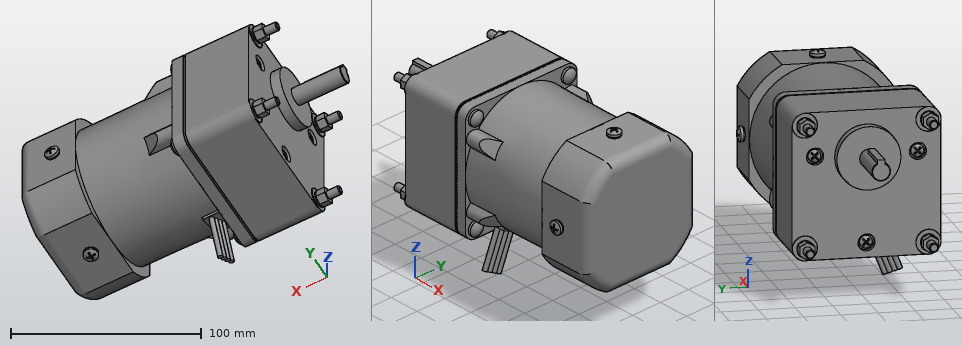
import cadquery as cq
import math


bolt_tip_x = 21.5
key_end_x = 25.0
nut_front_x = 28.9
hub_front_x = 29.5
nut_back_x = 34.1
pad_front_x = 34.8
case_front_x = 35.4
groove_front_x = 73.8
plate_front_x = 74.9
plate_back_x = 81.7
lug_end_x = 100.8
bell_front_x = 140.2
bell_back_x = 175.0

overlap = 1.8

case_width = 80.0
case_half = case_width / 2
case_corner_radius = 7.0
groove_depth = 0.5

shaft_z = 15.0
shaft_radius = 10.0 / 2
shaft_chamfer = 0.4
hub_radius = 17.2
key_width = 4.0
key_floor = 2.1
key_rise = 6.5

bolt_offset = 33.2
bolt_radius = 4.9 / 2
bolt_chamfer = 0.5
nut_sides = 6
nut_corner_radius = 4.7
washer_radius = 4.4
pad_radius = case_half - bolt_offset
bolt_head_radius = 4.7
bolt_head_rim = 1.5
bolt_head_height = 3.5

face_screws = [(-27.6, 16.1), (27.6, 16.1), (0, -31.8)]
recess_radius = 4.5
recess_depth = 2.8
face_screw_radius = 3.5
face_screw_rim = 1.4
face_screw_height = 2.5

body_front_radius = case_half
body_back_radius = 79.0 / 2
lug_angle = 32.2
lug_tip_radius = 4.4
lug_reach = 45.7
lug_flank_angle = 20.0
lug_foot_reach = 39.4
lug_root_reach = 31.5
lug_end_slope = math.tan(math.radians(56.3))

bell_half = 79.3 / 2
bell_corner_radius = 45.3
bell_fillet = 6.6
bell_screw_x = 153.3
bell_screw_radius = 8.2 / 2
bell_screw_span = 87.0
bell_screw_reach = bell_screw_span / 2
bell_screw_rim = 2.5
bell_screw_neck_radius = 3.7
bell_screw_neck = 0.7

cross_length = 4.9
cross_width = 0.7
cross_depth = 1.2

wire_count = 4
wire_radius = 3.0 / 2
wire_pitch = 2.6
wire_stagger = 0.9
wire_tilt = 22.0
wire_row_x = 86.1
wire_exit_y = -16.0
wire_exit_z = -37.8
overall_height = 106.5
lowest_z = bell_screw_reach - overall_height
grommet_width = 12.6
grommet_depth = 14.0
grommet_back_x = 91.7


def slab(x_start, x_end):
    """Workplane facing +X at x_start, and the length to x_end."""
    return cq.Workplane("YZ", origin=(x_start, 0, 0)), x_end - x_start


def square_block(x_start, x_end, half):
    plane, length = slab(x_start, x_end)
    return plane.rect(2 * half, 2 * half).extrude(length)


def cylinder(x_start, x_end, radius, y=0.0, z=0.0):
    plane, length = slab(x_start, x_end)
    return plane.center(y, z).circle(radius).extrude(length)


def screw_head(radius, rim, height, neck_radius=0.0, neck=0.0):
    """Head standing on Z = 0 along +Z, with a straight rim below a round dome."""
    dome = height - rim
    dome_radius = (radius**2 + dome**2) / (2 * dome)
    half_angle = math.asin(radius / dome_radius) / 2
    mid_radius = dome_radius * math.sin(half_angle)
    mid_height = height - dome_radius * (1 - math.cos(half_angle))
    head = (
        cq.Workplane("XZ", origin=(0, 0, neck))
        .lineTo(radius, 0)
        .lineTo(radius, rim - neck)
        .threePointArc((mid_radius, mid_height - neck), (0, height - neck))
        .close()
        .revolve(360, (0, 0, 0), (0, 1, 0))
    )
    if neck:
        head = head.union(cq.Workplane("XY").circle(neck_radius).extrude(neck))
    return head


def cross_slotted(head, height):
    """Cut a cross slot into the top of a head that stands along +Z."""
    floor = cq.Workplane("XY", origin=(0, 0, height - cross_depth))
    for length, width in [(cross_length, cross_width), (cross_width, cross_length)]:
        head = head.cut(floor.rect(length, width).extrude(2 * cross_depth))
    return head


def make_case():
    case = square_block(pad_front_x, plate_back_x, case_half)
    case = case.edges("|X").fillet(case_corner_radius)
    pads = (
        cq.Workplane("YZ", origin=(pad_front_x, 0, 0))
        .rect(2 * bolt_offset, 2 * bolt_offset, forConstruction=True)
        .vertices()
        .circle(pad_radius)
        .extrude(case_front_x - pad_front_x)
    )
    case = case.cut(square_block(pad_front_x, case_front_x, 2 * case_half).cut(pads))
    core = square_block(groove_front_x, plate_front_x, case_half - groove_depth)
    core = core.edges("|X").fillet(case_corner_radius - groove_depth)
    return case.cut(square_block(groove_front_x, plate_front_x, 2 * case_half).cut(core))


def make_shaft():
    hub = cylinder(hub_front_x, case_front_x + overlap, hub_radius, z=shaft_z)
    shaft = cylinder(0, hub_front_x + overlap, shaft_radius, z=shaft_z)
    shaft = shaft.faces("<X").chamfer(shaft_chamfer)
    key = (
        cq.Workplane("XY", origin=(0, 0, shaft_z + key_floor))
        .moveTo(0, -key_width / 2)
        .lineTo(key_end_x - key_width / 2, -key_width / 2)
        .threePointArc((key_end_x, 0), (key_end_x - key_width / 2, key_width / 2))
        .lineTo(0, key_width / 2)
        .close()
        .extrude(key_rise - key_floor)
    )
    return hub.union(shaft).union(key)


def make_bolt(y, z):
    shank = cylinder(bolt_tip_x, case_front_x + overlap, bolt_radius, y, z)
    shank = shank.faces("<X").chamfer(bolt_chamfer)
    plane, length = slab(nut_front_x, nut_back_x)
    corners = [
        (
            y + nut_corner_radius * math.sin(math.radians(360 / nut_sides * i)),
            z + nut_corner_radius * math.cos(math.radians(360 / nut_sides * i)),
        )
        for i in range(nut_sides)
    ]
    nut = plane.polyline(corners).close().extrude(length)
    washer = cylinder(nut_back_x, case_front_x, washer_radius, y, z)
    head = screw_head(bolt_head_radius, bolt_head_rim, bolt_head_height)
    head = head.rotate((0, 0, 0), (0, 1, 0), 90).translate((plate_back_x, y, z))
    return shank.union(nut).union(washer).union(head)


def add_face_screws(body):
    head = screw_head(face_screw_radius, face_screw_rim, face_screw_height)
    head = cross_slotted(head, face_screw_height).rotate((0, 0, 0), (0, 0, 1), 45)
    head = head.rotate((0, 0, 0), (0, 1, 0), -90)
    recess_floor_x = case_front_x + recess_depth
    for y, z in face_screws:
        body = body.cut(cylinder(case_front_x, recess_floor_x, recess_radius, y, z))
        body = body.union(head.translate((recess_floor_x, y, z)))
    return body


def make_motor_body():
    return (
        cq.Workplane("XY")
        .moveTo(plate_back_x, 0)
        .lineTo(plate_back_x, body_front_radius)
        .lineTo(bell_front_x, body_back_radius)
        .lineTo(bell_front_x, 0)
        .close()
        .revolve(360, (0, 0, 0), (1, 0, 0))
    )


def make_lug():
    """Rounded rib pointing along +Y, with a sloping rear end."""
    flank = math.radians(lug_flank_angle)
    tip_center = lug_reach - lug_tip_radius
    shoulder_y = tip_center + lug_tip_radius * math.sin(flank)
    shoulder_z = lug_tip_radius * math.cos(flank)
    root_z = shoulder_z + (shoulder_y - lug_root_reach) * math.tan(flank)
    lug_drop = lug_end_slope * (lug_reach - lug_foot_reach)
    root_end_x = lug_end_x + lug_end_slope * (lug_foot_reach - lug_root_reach)
    plane, length = slab(plate_back_x, root_end_x)
    rib = (
        plane.moveTo(lug_root_reach, -root_z)
        .lineTo(shoulder_y, -shoulder_z)
        .threePointArc((lug_reach, 0), (shoulder_y, shoulder_z))
        .lineTo(lug_root_reach, root_z)
        .close()
        .extrude(length)
    )
    side_outline = (
        cq.Workplane("XY", origin=(0, 0, -root_z))
        .moveTo(plate_back_x, lug_root_reach)
        .lineTo(root_end_x, lug_root_reach)
        .lineTo(lug_end_x - lug_drop, lug_reach)
        .lineTo(plate_back_x, lug_reach)
        .close()
        .extrude(2 * root_z)
    )
    return rib.intersect(side_outline)


def make_bell():
    bell = square_block(bell_front_x, bell_back_x, bell_half)
    bell = bell.intersect(cylinder(bell_front_x, bell_back_x, bell_corner_radius))
    return bell.faces(">X").edges().fillet(bell_fillet)


def add_bell_screws(body):
    height = bell_screw_reach - bell_half
    head = screw_head(
        bell_screw_radius,
        bell_screw_rim,
        height,
        bell_screw_neck_radius,
        bell_screw_neck,
    )
    head = cross_slotted(head, height).translate((bell_screw_x, 0, bell_half))
    for i in range(4):
        body = body.union(head.rotate((0, 0, 0), (1, 0, 0), 90 * i))
    return body


def make_leads():
    """Grommet and wires, built pointing along -Z and then tilted toward -Y."""
    tilt = math.radians(wire_tilt)
    outer_wire = (wire_count - 1) / 2 * wire_pitch
    row_half_width = outer_wire + wire_radius
    wire_length = (wire_exit_z - lowest_z - row_half_width * math.sin(tilt)) / math.cos(tilt)
    grommet_length = grommet_back_x - plate_back_x
    leads = cq.Workplane("XY").box(
        grommet_length, grommet_width, grommet_depth, centered=(False, True, False)
    )
    leads = leads.translate((plate_back_x, 0, 0))
    for i in range(wire_count):
        step = i - (wire_count - 1) / 2
        wire = (
            cq.Workplane("XY", origin=(wire_row_x, 0, -wire_length))
            .center(wire_stagger * step, wire_pitch * step)
            .circle(wire_radius)
            .extrude(wire_length + grommet_depth / 2)
        )
        leads = leads.union(wire)
    leads = leads.rotate((0, 0, 0), (1, 0, 0), -wire_tilt)
    return leads.translate((0, wire_exit_y, wire_exit_z))


result = make_case().union(make_shaft()).union(make_motor_body()).union(make_bell())
result = add_face_screws(result)
for y_sign in (-1, 1):
    for z_sign in (-1, 1):
        result = result.union(make_bolt(y_sign * bolt_offset, z_sign * bolt_offset))
lug = make_lug()
for angle in (lug_angle, 180 - lug_angle, 180 + lug_angle, -lug_angle):
    result = result.union(lug.rotate((0, 0, 0), (1, 0, 0), angle))
result = add_bell_screws(result)
result = result.union(make_leads())